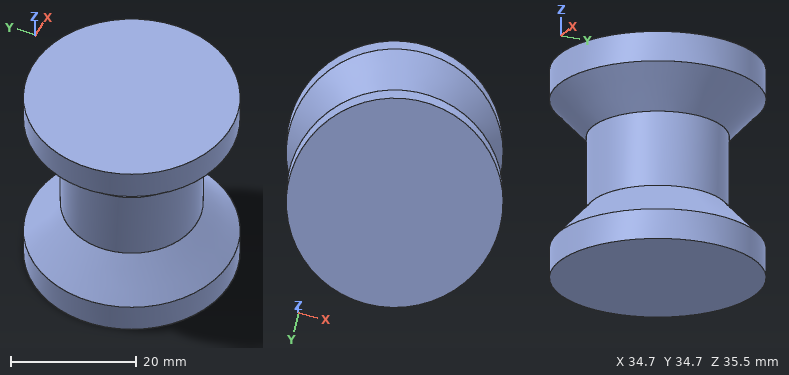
import cadquery as cq

height = 35.55
flange_diameter = 34.67
neck_diameter = 22.85

rim_thickness = 5.1
cone_height = 6.33

flange_radius = flange_diameter / 2
neck_radius = neck_diameter / 2
half_height = height / 2
rim_inner_z = half_height - rim_thickness
neck_end_z = rim_inner_z - cone_height

section = (
    cq.Workplane("XZ")
    .moveTo(0, -half_height)
    .lineTo(flange_radius, -half_height)
    .lineTo(flange_radius, -rim_inner_z)
    .lineTo(neck_radius, -neck_end_z)
    .lineTo(neck_radius, neck_end_z)
    .lineTo(flange_radius, rim_inner_z)
    .lineTo(flange_radius, half_height)
    .lineTo(0, half_height)
    .close()
)

result = section.revolve(360, (0, 0, 0), (0, 1, 0))